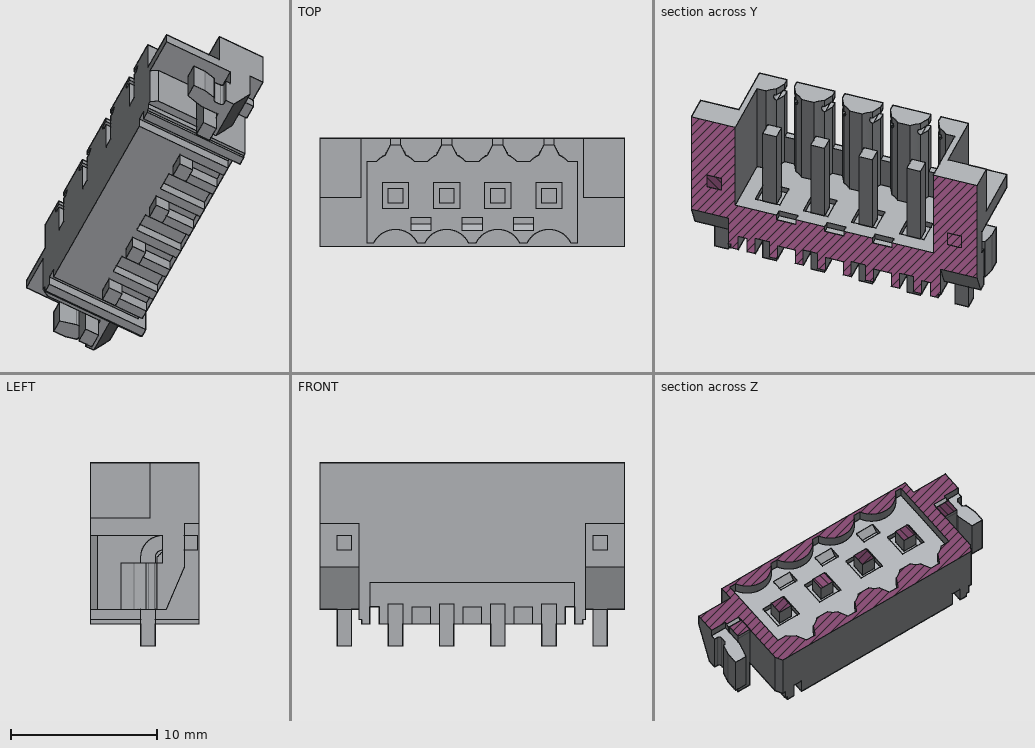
import cadquery as cq
import math

width = 20.85
depth = 7.45
height = 11.05

contact_count = 4
pitch = 3.5
pin_size = 1.0
pin_y = 3.5
pin_top = 9.74
pin_bottom = -1.5
pin_front = pin_y - pin_size / 2
pin_back = pin_y + pin_size / 2
contact_xs = [(i - (contact_count - 1) / 2) * pitch for i in range(contact_count)]
gap_xs = [(a + b) / 2 for a, b in zip(contact_xs, contact_xs[1:])]

body_half = 7.75
upper_half = 7.63
step_width = 0.19
step_height = 0.31

half_width = width / 2
ear_bottom = 1.0
ear_block_depth = 3.38
flange_bottom = 6.07
flange_top = 7.25
notch_depth = 1.0
notch_top = 6.9
slope_top = 3.92
slope_bottom_y = 2.25
web_back = 2.52
ledge_back = 2.88
ledge_top = 4.2
support_top = 4.95

bent_pin_x = (contact_count + 1) / 2 * pitch
bent_pin_front = 0.13
bend_inner = 0.5
bend_outer = bend_inner + pin_size
bent_pin_upper = flange_bottom
bent_pin_lower = bent_pin_upper - pin_size
bend_y = pin_back - bend_outer
bend_z = bent_pin_upper - bend_outer
pin_inner_face = bent_pin_x - pin_size / 2
pin_outer_face = bent_pin_x + pin_size / 2
back_chamfer_start = 6.95
back_chamfer_width = 0.3

clip_back = 5.34
clip_bend_y = 4.46
clip_corner_inset = 0.19
clip_corner_y = 3.65
clip_neck_inset = 0.44
clip_neck_y = 3.46
clip_arc_radius = 0.23
clip_tip_inset = 0.88
clip_shoulder_y = 4.17
neck_fillet = 0.19

cavity_half = 7.21
cavity_front = 0.25
cavity_back = 5.84
cavity_floor = 4.0
rib_radius = 1.67
rib_peak = 1.19
key_back = 6.96
key_half = 0.35
key_mouth_half = 0.7
key_arc_y = 4.7
key_arc_radius = 1.73
key_slot_bottom = 6.25
latch_half = 0.88
latch_radius = 0.4
latch_axis_z = 10.36
latch_bottom = 10.0
latch_top = 10.5

well_size = 1.8
well_depth = 0.42
pocket_width = 1.38
pocket_front = 1.13
pocket_middle = 1.56
pocket_back = 2.0
pocket_depth = pocket_middle - pocket_front

recess_half = 7.0
recess_top = 2.85
recess_depth = 0.6
comb_half = 6.38
comb_slot_top = 1.19
gap_slot_width = 1.27
pin_slot_top = 1.38


def box(x0, x1, y0, y1, z0, z1):
    """Box between two opposite corners."""
    block = cq.Workplane("XY").box(x1 - x0, y1 - y0, z1 - z0, centered=False)
    return block.translate((x0, y0, z0))


def side_profile(points, x0, x1):
    """Prism along X from a list of (y, z) points."""
    return cq.Workplane("YZ").polyline(points).close().extrude(x1 - x0).translate((x0, 0, 0))


def main_body():
    """Body between the ears, with a narrower foot and upper part."""
    lower = box(-body_half, body_half, 0, depth, step_height, flange_top)
    foot = box(step_width - body_half, body_half - step_width, 0, depth, 0, step_height)
    upper = box(-upper_half, upper_half, 0, depth, flange_top, height)
    return lower.union(foot).union(upper)


def clip():
    """Spring clip that holds the bent pin against the body, at the +X end."""
    outline = (
        cq.Workplane("XY")
        .moveTo(pin_outer_face, web_back)
        .lineTo(pin_outer_face, clip_shoulder_y)
        .lineTo(half_width - clip_tip_inset, clip_back)
        .lineTo(half_width, clip_back)
        .lineTo(half_width, clip_bend_y)
        .lineTo(half_width - clip_corner_inset, clip_corner_y)
        .radiusArc((half_width - clip_neck_inset, clip_neck_y), -clip_arc_radius)
        .lineTo(half_width - clip_neck_inset, ledge_back + neck_fillet)
        .radiusArc((half_width - clip_neck_inset + neck_fillet, ledge_back), -neck_fillet)
        .lineTo(half_width - clip_neck_inset + neck_fillet, web_back)
        .close()
    )
    return outline.extrude(ledge_top - ear_bottom).translate((0, 0, ear_bottom))


def pin_cheek():
    """Thickened body side that the bent pin lies against, chamfered at the back, at the +X end."""
    outline = [
        (0, 0),
        (pin_inner_face, 0),
        (pin_inner_face, back_chamfer_start),
        (pin_inner_face - back_chamfer_width, depth),
        (0, depth),
    ]
    cheek = cq.Workplane("XY").polyline(outline).close().extrude(flange_bottom - ear_bottom)
    return cheek.translate((0, 0, ear_bottom))


def ear():
    """Ear at the +X end, from the centre outwards: block, flange, web, pin support, cheek and clip."""
    block = box(0, half_width, 0, ear_block_depth, flange_bottom, height)
    flange = box(0, half_width, 0, depth, flange_bottom, flange_top)
    web = box(0, half_width, 0, web_back, ear_bottom, flange_bottom)
    ledge = box(0, half_width, 0, ledge_back, ear_bottom, ledge_top)
    support_rise = ledge_back - web_back
    support_points = [
        (0, ear_bottom),
        (ledge_back, ear_bottom),
        (ledge_back, support_top - support_rise),
        (web_back, support_top),
        (0, support_top),
    ]
    support = side_profile(support_points, 0, pin_outer_face)
    solid = block.union(flange).union(web).union(ledge).union(support)
    front_relief = side_profile(
        [
            (0, 0),
            (0, notch_top),
            (notch_depth, notch_top),
            (notch_depth, slope_top),
            (slope_bottom_y, ear_bottom),
            (slope_bottom_y, 0),
        ],
        body_half,
        half_width,
    )
    return solid.union(pin_cheek()).cut(front_relief).union(clip())


def front_rib(x):
    """Full-height round rib on the front wall of the cavity, opposite a pin."""
    rib = cq.Workplane("XY", origin=(x, rib_peak - rib_radius, cavity_floor)).circle(rib_radius)
    return rib.extrude(height - cavity_floor)


def keyway(x):
    """Keyway in the back wall behind a pin: concave mouth, open slot and latch groove."""
    arc_half = math.sqrt(key_arc_radius ** 2 - (cavity_back - key_arc_y) ** 2)
    mouth_y = key_arc_y + math.sqrt(key_arc_radius ** 2 - key_mouth_half ** 2)
    mouth = (
        cq.Workplane("XY", origin=(x, 0, cavity_floor))
        .moveTo(-arc_half, cavity_back)
        .radiusArc((-key_mouth_half, mouth_y), key_arc_radius)
        .lineTo(-key_half, key_back)
        .lineTo(key_half, key_back)
        .lineTo(key_mouth_half, mouth_y)
        .radiusArc((arc_half, cavity_back), key_arc_radius)
        .close()
        .extrude(height - cavity_floor)
    )
    slot = box(x - key_half, x + key_half, cavity_back, depth, key_slot_bottom, height)
    latch_band = box(x - latch_half, x + latch_half, cavity_back, depth, latch_bottom, latch_top)
    latch = (
        cq.Workplane("XZ", origin=(x, cavity_back, latch_axis_z))
        .slot2D(2 * latch_half, 2 * latch_radius)
        .extrude(cavity_back - depth)
        .intersect(latch_band)
    )
    return mouth.union(slot).union(latch)


def cavity():
    """Plug cavity, narrowed by the front ribs and widened by the keyways."""
    space = box(-cavity_half, cavity_half, cavity_front, cavity_back, cavity_floor, height)
    for x in contact_xs:
        space = space.cut(front_rib(x)).union(keyway(x))
    return space


def floor_pocket(x):
    """Blind pocket in the cavity floor between two pins, with a sloped front half."""
    points = [
        (pocket_front, cavity_floor),
        (pocket_middle, cavity_floor - pocket_depth),
        (pocket_back, cavity_floor - pocket_depth),
        (pocket_back, cavity_floor),
    ]
    return side_profile(points, x - pocket_width / 2, x + pocket_width / 2)


def pin_well(x):
    """Shallow square well in the cavity floor around a straight pin."""
    half = well_size / 2
    return box(x - half, x + half, pin_y - half, pin_y + half, cavity_floor - well_depth, cavity_floor)


def underside():
    """Front recess and the comb of slots along the lower edge."""
    cuts = box(-recess_half, recess_half, 0, recess_depth, 0, recess_top)
    for x0, x1 in ((-recess_half, -comb_half), (comb_half, recess_half)):
        cuts = cuts.union(box(x0, x1, 0, depth, 0, comb_slot_top))
    for x in contact_xs:
        cuts = cuts.union(box(x - pin_size / 2, x + pin_size / 2, 0, pin_back, 0, pin_slot_top))
    for x in gap_xs:
        cuts = cuts.union(box(x - gap_slot_width / 2, x + gap_slot_width / 2, 0, pin_back, 0, comb_slot_top))
    return cuts


def straight_pin(x):
    """Straight square contact pin."""
    return box(x - pin_size / 2, x + pin_size / 2, pin_front, pin_back, pin_bottom, pin_top)


def bent_pin(x):
    """Square anchor pin that enters from the front and bends down."""
    outline = (
        cq.Workplane("YZ", origin=(x - pin_size / 2, 0, 0))
        .moveTo(bent_pin_front, bent_pin_upper)
        .lineTo(bend_y, bent_pin_upper)
        .radiusArc((pin_back, bend_z), bend_outer)
        .lineTo(pin_back, pin_bottom)
        .lineTo(pin_front, pin_bottom)
        .lineTo(pin_front, bend_z)
        .radiusArc((bend_y, bent_pin_lower), -bend_inner)
        .lineTo(bent_pin_front, bent_pin_lower)
        .close()
    )
    return outline.extrude(pin_size)


straight_pins = [straight_pin(x) for x in contact_xs]
bent_pins = [bent_pin(x) for x in (-bent_pin_x, bent_pin_x)]

right_ear = ear()
housing = main_body().union(right_ear).union(right_ear.mirror("YZ"))
housing = housing.cut(cavity()).cut(underside())
for x in contact_xs:
    housing = housing.cut(pin_well(x))
for x in gap_xs:
    housing = housing.cut(floor_pocket(x))
for pin in straight_pins + bent_pins:
    housing = housing.cut(pin)

result = cq.Compound.makeCompound([housing.val()] + [pin.val() for pin in straight_pins + bent_pins])